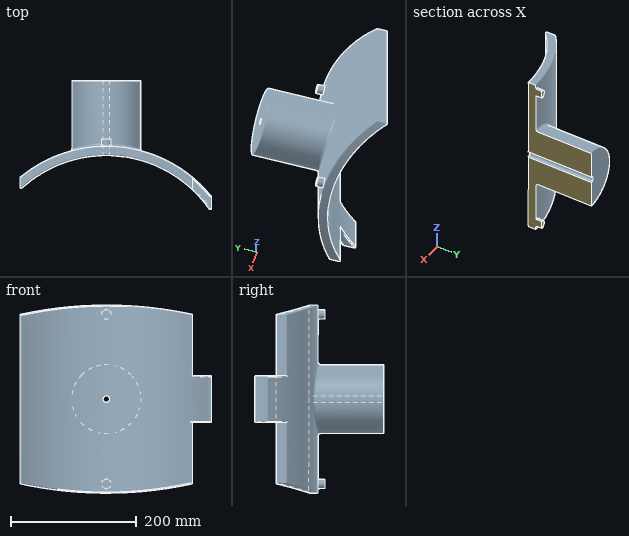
import cadquery as cq
import math

INNER_RADIUS = 200.0
PLATE_THICKNESS = 15.0
OUTER_RADIUS = INNER_RADIUS + PLATE_THICKNESS
PLATE_HALF_WIDTH = 137.5
PLATE_HALF_HEIGHT = 150.0
PLATE_CORNER_HALF_HEIGHT = 135.0
PLATE_EDGE_FILLET = 2.0

TAB_LENGTH = 30.0
TAB_HEIGHT = 75.0
TAB_END_X = PLATE_HALF_WIDTH + TAB_LENGTH

SPIGOT_DIAMETER = 110.0
SPIGOT_END_Y = 319.36
SPIGOT_END_FILLET = 1.0
SPIGOT_ROOT_FILLET = 4.0
CENTRE_HOLE_DIAMETER = 10.0

PIN_BASE_DIAMETER = 16.0
PIN_PROJECTION = 11.0
PIN_TAPER_ANGLE = 3.0
PIN_OFFSET_Z = 135.0
PIN_ROOT_DEPTH = 2.0

TOLERANCE = 0.01


def along_y(start_y):
    """Sketch plane facing +Y at the given Y, with local x along -X and local y along +Z."""
    return cq.Workplane(cq.Plane(origin=(0, start_y, 0), xDir=(-1, 0, 0), normal=(0, 1, 0)))


def curved_shell():
    """Full-height tube from which the plate and the tab are cut."""
    return cq.Workplane("XY").circle(OUTER_RADIUS).circle(INNER_RADIUS).extrude(PLATE_HALF_HEIGHT, both=True)


def make_saddle():
    """Plate with bowed ends and side tab, all outer edges rounded."""
    plate_outline = (
        along_y(0)
        .moveTo(-PLATE_HALF_WIDTH, -PLATE_CORNER_HALF_HEIGHT)
        .threePointArc((0, -PLATE_HALF_HEIGHT), (PLATE_HALF_WIDTH, -PLATE_CORNER_HALF_HEIGHT))
        .lineTo(PLATE_HALF_WIDTH, PLATE_CORNER_HALF_HEIGHT)
        .threePointArc((0, PLATE_HALF_HEIGHT), (-PLATE_HALF_WIDTH, PLATE_CORNER_HALF_HEIGHT))
        .close()
        .extrude(OUTER_RADIUS)
    )
    tab_outline = cq.Workplane("XY").box(TAB_END_X, OUTER_RADIUS, TAB_HEIGHT, centered=(False, False, True))
    footprint = plate_outline.union(tab_outline)
    saddle = curved_shell().intersect(footprint)
    rounded_edges = saddle.edges().filter(lambda edge: not is_notch_corner(edge))
    return saddle.newObject(rounded_edges.vals()).fillet(PLATE_EDGE_FILLET)


def is_notch_corner(edge):
    """True for the two concave edges where the tab leaves the plate."""
    centre = edge.Center()
    return math.isclose(centre.x, PLATE_HALF_WIDTH, abs_tol=TOLERANCE) and math.isclose(
        abs(centre.z), TAB_HEIGHT / 2, abs_tol=TOLERANCE
    )


def make_spigot():
    """Solid round spigot reaching down into the plate, with a rounded free end."""
    return (
        along_y(INNER_RADIUS)
        .circle(SPIGOT_DIAMETER / 2)
        .extrude(SPIGOT_END_Y - INNER_RADIUS)
        .faces(">Y")
        .edges()
        .fillet(SPIGOT_END_FILLET)
    )


def is_spigot_root(edge):
    """True for the curve where the spigot meets the outer face of the plate."""
    centre = edge.Center()
    reach = math.hypot(centre.x, centre.z)
    return reach < SPIGOT_DIAMETER / 2 + TOLERANCE and INNER_RADIUS < centre.y < OUTER_RADIUS + TOLERANCE


def add_spigot(saddle):
    """Join the spigot to the plate, fillet its root and drill the centre hole right through."""
    body = saddle.union(make_spigot())
    root_edges = body.edges().filter(is_spigot_root)
    body = body.newObject(root_edges.vals()).fillet(SPIGOT_ROOT_FILLET)
    centre_hole = along_y(0).circle(CENTRE_HOLE_DIAMETER / 2).extrude(SPIGOT_END_Y)
    return body.cut(centre_hole)


def make_pin(centre_z):
    """Tapered pin reaching from just inside the plate to its free end."""
    return (
        along_y(OUTER_RADIUS - PIN_ROOT_DEPTH)
        .center(0, centre_z)
        .circle(PIN_BASE_DIAMETER / 2)
        .extrude(PIN_ROOT_DEPTH + PIN_PROJECTION, taper=PIN_TAPER_ANGLE)
    )


result = add_spigot(make_saddle())
for pin_z in (-PIN_OFFSET_Z, PIN_OFFSET_Z):
    result = result.union(make_pin(pin_z))